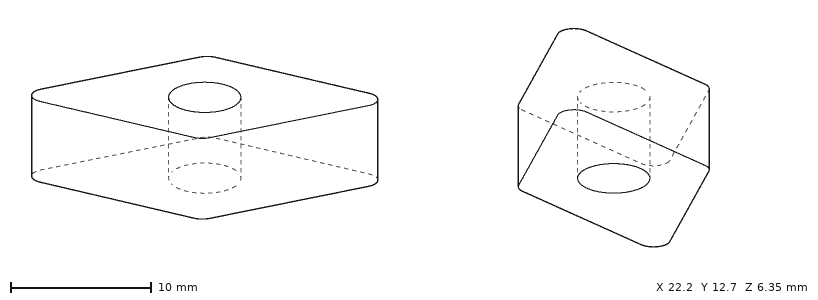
import cadquery as cq
import math

inscribed_diameter = 12.7
acute_angle = math.radians(55)
thickness = 6.35
corner_radius = 1.191
hole_diameter = 5.16

side_length = inscribed_diameter / math.sin(acute_angle)
half_height = inscribed_diameter / 2
acute_x = side_length * (1 + math.cos(acute_angle)) / 2
obtuse_x = acute_x - side_length
corners = [
    (-acute_x, -half_height),
    (-obtuse_x, -half_height),
    (acute_x, half_height),
    (obtuse_x, half_height),
]


def make_body():
    """Rhombic plate with all four upright corners rounded."""
    plate = cq.Workplane("XY").polyline(corners).close().extrude(thickness)
    return plate.edges("|Z").fillet(corner_radius)


def cut_hole(body):
    """Through hole at the centre of the rhombus."""
    hole = cq.Workplane("XY").circle(hole_diameter / 2).extrude(thickness)
    return body.cut(hole)


result = cut_hole(make_body())